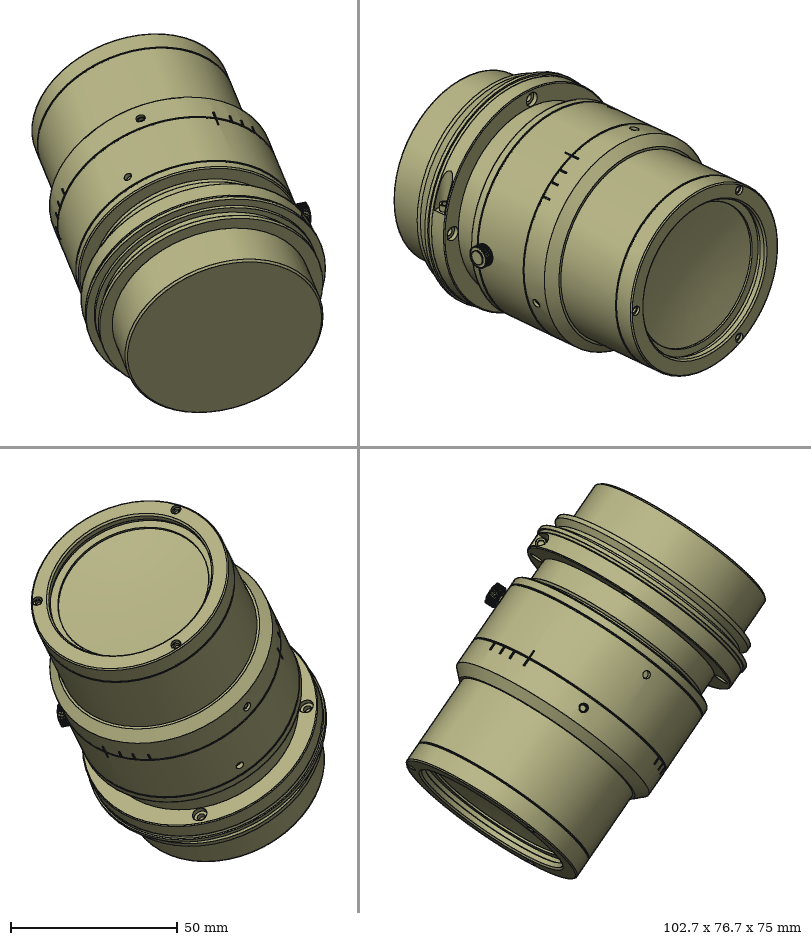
import cadquery as cq
import math

LENGTH = 102.7
EXTRA = 1.0

TUBE_RADIUS = 31.0
TUBE_END_CHAMFER = 0.4
TUBE_GROOVE_X = 6.6

BARREL_FRONT_X = 30.3
BARREL_FRONT_RADIUS = 31.8
BARREL_BEVEL_LENGTH = 3.1
BARREL_DIAMETER = 70.0
BARREL_RADIUS = BARREL_DIAMETER / 2
IRIS_GROOVE_X = 42.3
FOCUS_GROOVE_X = 62.2
BARREL_REAR_X = 65.1
BARREL_REAR_CHAMFER = 0.4
GROOVE_WIDTH = 0.4
GROOVE_DEPTH = 0.4

NECK_RADIUS = 30.3
NECK_REAR_X = 66.5

RING_FRONT_X = 74.5
RING_REAR_X = 80.2
RING_RADIUS = 37.0
RING_CHAMFER = 0.3
FLANGE_FRONT_X = 81.1
FLANGE_REAR_X = 82.3
FLANGE_RADIUS = 37.5
FLANGE_BACKING_X = 83.3
DOVETAIL_FLOOR_RADIUS = 33.2
DOVETAIL_BEVEL_X = 85.0
DOVETAIL_REAR_X = 88.1
TAIL_CHAMFER = 0.6

OPENING_RADIUS = 25.6
UNDERCUT_DIAMETER = 52.3
UNDERCUT_RADIUS = UNDERCUT_DIAMETER / 2
THREAD_END_DEPTH = 2.3
SEAT_DEPTH = 3.8
GLASS_DIAMETER = 47.4
GLASS_RADIUS = GLASS_DIAMETER / 2
GLASS_RIM_DEPTH = 4.5
GLASS_SAG = 2.8

FACE_HOLE_CIRCLE_RADIUS = 29.0
FACE_HOLE_DIAMETER = 3.0
FACE_HOLE_DEPTH = 1.0
FACE_SOCKET_DIAMETER = 2.0
FACE_SOCKET_DEPTH = 2.1

BARREL_REPEATS = 3
IRIS_SCREW_X = 38.4
IRIS_SCREW_AZIMUTH = 77.0
IRIS_SCREW_DIAMETER = 2.8
IRIS_SCREW_DEPTH = 1.0
IRIS_SOCKET_DIAMETER = 2.1
IRIS_SOCKET_DEPTH = 2.1
KNOB_X = 58.0
KNOB_AZIMUTH = 180.0
LOCK_HOLE_DIAMETER = 2.5
LOCK_HOLE_DEPTH = 1.5

TICK_AZIMUTHS = (-5.2, 4.5, 12.0, 20.3)
TICK_FRONT_X = 39.5
INDEX_REAR_X = 45.1
TICK_WIDTH = 0.4
INDEX_WIDTH = 0.2
TICK_DEPTH = 0.3

KNOB_RADIUS = 3.5
KNOB_BASE = 35.6
KNOB_SHOULDER = 38.8
KNOB_TOP = 39.2
KNOB_CAP_RADIUS = 2.3
KNOB_EDGE_CHAMFER = 0.3
KNOB_GROOVE_BASE = 36.4
KNOB_GROOVE_WIDTH = 0.4
KNOB_GROOVE_DEPTH = 0.3
KNOB_STEM_RADIUS = 1.2
KNURL_COUNT = 24
KNURL_WIDTH = 0.4
KNURL_DEPTH = 0.2

RING_HOLE_COUNT = 4
RING_HOLE_CIRCLE_RADIUS = 33.4
RING_HOLE_DIAMETER = 4.5
RING_HOLE_DEPTH = 1.5
RING_SOCKET_DIAMETER = 2.5
RING_SOCKET_DEPTH = 3.1

CLAMP_X = 77.4
CLAMP_Y = 33.7
CLAMP_POCKET_DIAMETER = 4.5
CLAMP_POCKET_FLOOR_Z = 7.2
CLAMP_HEAD_DIAMETER = 3.5
CLAMP_HEAD_HEIGHT = 2.1
CLAMP_SOCKET_DIAMETER = 2.5
CLAMP_SOCKET_DEPTH = 1.2


def at_azimuth(shape, azimuth):
    """Turn a shape made on the -Y side to an azimuth around the lens axis."""
    return shape.rotate((0, 0, 0), (1, 0, 0), -azimuth)


def repeated_azimuths(first, count):
    """Angles of evenly spaced repeats over a full turn."""
    return [first + 360.0 * step / count for step in range(count)]


def radial_hole(x, diameter, depth, surface_radius):
    """A cutter that enters a round surface from -Y."""
    plane = cq.Workplane("XZ", origin=(x, -surface_radius + depth, 0))
    return plane.circle(diameter / 2).extrude(depth + EXTRA)


def axial_hole(x, circle_radius, diameter, depth):
    """A cutter that enters a face at x towards +X, on the -Y side."""
    plane = cq.Workplane("YZ", origin=(x - EXTRA, -circle_radius, 0))
    return plane.circle(diameter / 2).extrude(depth + EXTRA)


def ring_groove(x, surface_radius):
    """A narrow groove running round the lens, centred on x."""
    plane = cq.Workplane("YZ", origin=(x - GROOVE_WIDTH / 2, 0, 0))
    outer = plane.circle(surface_radius + EXTRA).extrude(GROOVE_WIDTH)
    inner = plane.circle(surface_radius - GROOVE_DEPTH).extrude(GROOVE_WIDTH)
    return outer.cut(inner)


def lens_body():
    """The turned body, including its front opening and concave glass."""
    opening_chamfer = UNDERCUT_RADIUS - OPENING_RADIUS
    glass_centre_depth = GLASS_RIM_DEPTH + GLASS_SAG
    glass_curve = (GLASS_RADIUS**2 + GLASS_SAG**2) / (2 * GLASS_SAG)
    half_radius = GLASS_RADIUS / 2
    half_depth = glass_centre_depth - glass_curve + math.sqrt(glass_curve**2 - half_radius**2)
    neck_bevel = TUBE_RADIUS - NECK_RADIUS
    dovetail_bevel = BARREL_RADIUS - DOVETAIL_FLOOR_RADIUS
    profile = (
        cq.Workplane("XY")
        .moveTo(glass_centre_depth, 0)
        .threePointArc((half_depth, half_radius), (GLASS_RIM_DEPTH, GLASS_RADIUS))
        .lineTo(SEAT_DEPTH, GLASS_RADIUS)
        .lineTo(SEAT_DEPTH, UNDERCUT_RADIUS)
        .lineTo(THREAD_END_DEPTH, UNDERCUT_RADIUS)
        .lineTo(THREAD_END_DEPTH, OPENING_RADIUS)
        .lineTo(opening_chamfer, OPENING_RADIUS)
        .lineTo(0, UNDERCUT_RADIUS)
        .lineTo(0, TUBE_RADIUS - TUBE_END_CHAMFER)
        .lineTo(TUBE_END_CHAMFER, TUBE_RADIUS)
        .lineTo(BARREL_FRONT_X, TUBE_RADIUS)
        .lineTo(BARREL_FRONT_X, BARREL_FRONT_RADIUS)
        .lineTo(BARREL_FRONT_X + BARREL_BEVEL_LENGTH, BARREL_RADIUS)
        .lineTo(BARREL_REAR_X - BARREL_REAR_CHAMFER, BARREL_RADIUS)
        .lineTo(BARREL_REAR_X, BARREL_RADIUS - BARREL_REAR_CHAMFER)
        .lineTo(BARREL_REAR_X, NECK_RADIUS)
        .lineTo(NECK_REAR_X, NECK_RADIUS)
        .lineTo(NECK_REAR_X + neck_bevel, TUBE_RADIUS)
        .lineTo(RING_FRONT_X, TUBE_RADIUS)
        .lineTo(RING_FRONT_X, RING_RADIUS - RING_CHAMFER)
        .lineTo(RING_FRONT_X + RING_CHAMFER, RING_RADIUS)
        .lineTo(RING_REAR_X - RING_CHAMFER, RING_RADIUS)
        .lineTo(RING_REAR_X, RING_RADIUS - RING_CHAMFER)
        .lineTo(FLANGE_FRONT_X, RING_RADIUS)
        .lineTo(FLANGE_FRONT_X, FLANGE_RADIUS)
        .lineTo(FLANGE_REAR_X, FLANGE_RADIUS)
        .lineTo(FLANGE_REAR_X, BARREL_RADIUS)
        .lineTo(FLANGE_BACKING_X, BARREL_RADIUS)
        .lineTo(FLANGE_BACKING_X, DOVETAIL_FLOOR_RADIUS)
        .lineTo(DOVETAIL_BEVEL_X, DOVETAIL_FLOOR_RADIUS)
        .lineTo(DOVETAIL_BEVEL_X + dovetail_bevel, BARREL_RADIUS)
        .lineTo(DOVETAIL_REAR_X, BARREL_RADIUS)
        .lineTo(DOVETAIL_REAR_X, TUBE_RADIUS)
        .lineTo(LENGTH - TAIL_CHAMFER, TUBE_RADIUS)
        .lineTo(LENGTH, TUBE_RADIUS - TAIL_CHAMFER)
        .lineTo(LENGTH, 0)
        .close()
    )
    return profile.revolve(360, (0, 0, 0), (1, 0, 0))


def cut_grooves(body):
    body = body.cut(ring_groove(TUBE_GROOVE_X, TUBE_RADIUS))
    for x in (IRIS_GROOVE_X, FOCUS_GROOVE_X):
        body = body.cut(ring_groove(x, BARREL_RADIUS))
    return body


def cut_face_holes(body):
    """Stepped screw holes entering the front face, one in line with the knob."""
    hole = axial_hole(0, FACE_HOLE_CIRCLE_RADIUS, FACE_HOLE_DIAMETER, FACE_HOLE_DEPTH)
    socket = axial_hole(0, FACE_HOLE_CIRCLE_RADIUS, FACE_SOCKET_DIAMETER, FACE_SOCKET_DEPTH)
    for azimuth in repeated_azimuths(KNOB_AZIMUTH, BARREL_REPEATS):
        body = body.cut(at_azimuth(hole.union(socket), azimuth))
    return body


def cut_barrel_holes(body):
    """Stepped iris screw holes, and plain lock holes where there is no knob."""
    screw = radial_hole(IRIS_SCREW_X, IRIS_SCREW_DIAMETER, IRIS_SCREW_DEPTH, BARREL_RADIUS)
    socket = radial_hole(IRIS_SCREW_X, IRIS_SOCKET_DIAMETER, IRIS_SOCKET_DEPTH, BARREL_RADIUS)
    for azimuth in repeated_azimuths(IRIS_SCREW_AZIMUTH, BARREL_REPEATS):
        body = body.cut(at_azimuth(screw.union(socket), azimuth))
    lock_hole = radial_hole(KNOB_X, LOCK_HOLE_DIAMETER, LOCK_HOLE_DEPTH, BARREL_RADIUS)
    for azimuth in repeated_azimuths(KNOB_AZIMUTH, BARREL_REPEATS)[1:]:
        body = body.cut(at_azimuth(lock_hole, azimuth))
    return body


def scale_line(front_x, rear_x, width):
    length = rear_x - front_x
    block = cq.Workplane("XY").box(length, TICK_DEPTH + EXTRA, width, centered=(False, False, True))
    return block.translate((front_x, -BARREL_RADIUS - EXTRA, 0))


def cut_iris_scales(body):
    """Four ticks in front of the iris groove and one index line behind it, three times."""
    tick = scale_line(TICK_FRONT_X, IRIS_GROOVE_X, TICK_WIDTH)
    index = scale_line(IRIS_GROOVE_X, INDEX_REAR_X, INDEX_WIDTH)
    for scale_azimuth in repeated_azimuths(0, BARREL_REPEATS):
        for tick_azimuth in TICK_AZIMUTHS:
            body = body.cut(at_azimuth(tick, scale_azimuth + tick_azimuth))
        body = body.cut(at_azimuth(index, scale_azimuth + TICK_AZIMUTHS[0]))
    return body


def locking_knob():
    """A knurled thumb screw standing out along +Y, made along its own axis and then placed."""
    groove_floor = KNOB_RADIUS - KNOB_GROOVE_DEPTH
    groove_top = KNOB_GROOVE_BASE + KNOB_GROOVE_WIDTH
    stem_base = BARREL_RADIUS - EXTRA
    profile = (
        cq.Workplane("XY")
        .moveTo(0, stem_base)
        .lineTo(KNOB_STEM_RADIUS, stem_base)
        .lineTo(KNOB_STEM_RADIUS, KNOB_BASE)
        .lineTo(KNOB_RADIUS - KNOB_EDGE_CHAMFER, KNOB_BASE)
        .lineTo(KNOB_RADIUS, KNOB_BASE + KNOB_EDGE_CHAMFER)
        .lineTo(KNOB_RADIUS, KNOB_GROOVE_BASE)
        .lineTo(groove_floor, KNOB_GROOVE_BASE)
        .lineTo(groove_floor, groove_top)
        .lineTo(KNOB_RADIUS, groove_top)
        .lineTo(KNOB_RADIUS, KNOB_SHOULDER)
        .lineTo(KNOB_CAP_RADIUS, KNOB_SHOULDER)
        .lineTo(KNOB_CAP_RADIUS, KNOB_TOP)
        .lineTo(0, KNOB_TOP)
        .close()
    )
    knob = profile.revolve(360, (0, 0, 0), (0, 1, 0))
    cutter_length = 2 * KNURL_DEPTH
    height = KNOB_SHOULDER - KNOB_BASE
    cutter = (
        cq.Workplane("XY")
        .box(cutter_length, height, KNURL_WIDTH)
        .translate((KNOB_RADIUS, KNOB_BASE + height / 2, 0))
    )
    for angle in repeated_azimuths(0, KNURL_COUNT):
        knob = knob.cut(cutter.rotate((0, 0, 0), (0, 1, 0), angle))
    return knob.translate((KNOB_X, 0, 0))


def cut_ring_holes(body):
    """Stepped screw holes entering the clamp ring from the front."""
    hole = axial_hole(RING_FRONT_X, RING_HOLE_CIRCLE_RADIUS, RING_HOLE_DIAMETER, RING_HOLE_DEPTH)
    socket = axial_hole(
        RING_FRONT_X, RING_HOLE_CIRCLE_RADIUS, RING_SOCKET_DIAMETER, RING_SOCKET_DEPTH
    )
    for azimuth in repeated_azimuths(0, RING_HOLE_COUNT):
        body = body.cut(at_azimuth(hole.union(socket), azimuth))
    return body


def add_clamp_screw(body):
    """A round-ended pocket open towards +Y and +Z, with a socket screw standing on its floor."""
    floor = cq.Workplane("XY", origin=(CLAMP_X, CLAMP_Y, CLAMP_POCKET_FLOOR_Z))
    pocket_height = RING_RADIUS - CLAMP_POCKET_FLOOR_Z
    open_length = RING_RADIUS - CLAMP_Y + EXTRA
    round_end = floor.circle(CLAMP_POCKET_DIAMETER / 2).extrude(pocket_height)
    open_end = floor.box(
        CLAMP_POCKET_DIAMETER, open_length, pocket_height, centered=(True, False, False)
    )
    head = (
        floor.circle(CLAMP_HEAD_DIAMETER / 2)
        .extrude(CLAMP_HEAD_HEIGHT)
        .faces(">Z")
        .workplane()
        .polygon(6, CLAMP_SOCKET_DIAMETER)
        .cutBlind(-CLAMP_SOCKET_DEPTH)
    )
    return body.cut(round_end.union(open_end)).union(head)


result = lens_body()
result = cut_grooves(result)
result = cut_face_holes(result)
result = cut_barrel_holes(result)
result = cut_iris_scales(result)
result = cut_ring_holes(result)
result = add_clamp_screw(result)
result = result.union(locking_knob())